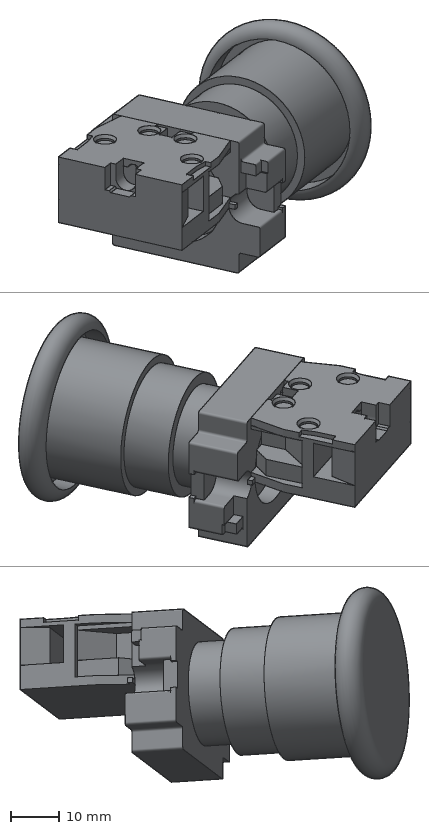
import cadquery as cq

head_radius = 40.0 / 2
head_thickness = 6.0
rim_radius = head_thickness / 2
rim_centre_radius = head_radius - rim_radius
head_back_y = 44.7
head_top_y = head_back_y + head_thickness
underside_groove_depth = 4.65
housing_radius = 15.0
housing_end_y = 28.65
shoulder_radius = 13.3
shoulder_end_y = 18.6
neck_radius = 10.9
neck_end_y = 3.75

collar_depth = 11.0
collar_half_size = 15.0
ear_half_span = head_radius
ear_half_height = 10.3
corner_radius = 0.5
slot_radius = 3.4
slot_centre_x = 15.9
slot_depth = 8.0
web_half_span = 18.9
lip_half_gap = 2.85
lip_thickness = 1.2
relief_depth = 3.0
latch_end_x = 18.45
latch_inner_z = 7.7
latch_front_y = 0.9
latch_notch_depth = 3.45
latch_corner_radius = 0.3

block_length = 24.3
block_height = 15.0
block_half_width = 14.6
waist_half_width = 12.9
taper_length = 8.1
plate_underside_z = 13.2

side_pocket_length = 12.4
side_pocket_floor_z = 1.95
side_ledge_z = 5.85
side_rib_z = 12.3
ledge_ramp_length = 3.45
ledge_inner_x = 10.05
wall_inner_x = 7.5
wall_length = 5.5

window_near_y = 14.9
window_far_y = 18.4
window_floor_z = 5.2

screw_mouth_half_width = 3.6
screw_mouth_length = 2.55
screw_mouth_floor_z = 9.9
screw_slot_radius = 2.4
screw_slot_centre_z = 11.9
screw_bevel = 0.4

pin_hole_radius = 1.5
pin_hole_centre_z = 12.6
pin_groove_length = 4.4
top_pocket_half_width = 4.3
top_pocket_length = 0.9

terminal_top_radius = 2.4
terminal_radius = 1.95
terminal_cone_depth = 0.7
terminal_depth = 1.1
terminal_places = [(4.3, -3.7), (10.3, -11.9)]

notch_start_y = 11.7
notch_bend_y = 14.6
notch_end_y = 19.2
notch_start_half_width = 13.35
notch_depth = 1.0

lug_size = 1.05


def box(x_range, y_range, z_range):
    """Axis-aligned box between pairs of coordinates given in either order."""
    low = [min(pair) for pair in (x_range, y_range, z_range)]
    high = [max(pair) for pair in (x_range, y_range, z_range)]
    sizes = [b - a for a, b in zip(low, high)]
    return cq.Workplane("XY").box(*sizes, centered=False).translate(tuple(low))


def prism_z(points, z_low, z_high):
    """Upright prism over an XY outline."""
    return cq.Workplane("XY").workplane(offset=z_low).polyline(points).close().extrude(z_high - z_low)


def rod_y(radius, y_low, y_high, x=0, z=0):
    """Cylinder along Y."""
    plane = cq.Workplane("XZ", origin=(x, y_high, z))
    return plane.circle(radius).extrude(y_high - y_low)


def both_sides(shape):
    """The shape together with its mirror image across the YZ plane."""
    return shape.union(shape.mirror("YZ"))


def make_button():
    profile = (
        cq.Workplane("XY")
        .moveTo(0, neck_end_y)
        .lineTo(neck_radius, neck_end_y)
        .lineTo(neck_radius, shoulder_end_y)
        .lineTo(shoulder_radius, shoulder_end_y)
        .lineTo(shoulder_radius, housing_end_y)
        .lineTo(housing_radius, housing_end_y)
        .lineTo(housing_radius, head_back_y + underside_groove_depth)
        .lineTo(rim_centre_radius, head_back_y + underside_groove_depth)
        .lineTo(rim_centre_radius, head_back_y)
        .threePointArc((head_radius, head_back_y + rim_radius), (rim_centre_radius, head_top_y))
        .lineTo(0, head_top_y)
        .close()
    )
    return profile.revolve(360, (0, 0, 0), (0, 1, 0))


def ear_slot():
    """Round-ended slot open to -X, with a web left standing at its closed end."""
    slot_y = (0, slot_depth)
    outer_x = -ear_half_span
    slot = box((outer_x, -slot_centre_x), slot_y, (-slot_radius, slot_radius))
    slot = slot.union(rod_y(slot_radius, *slot_y, x=-slot_centre_x))
    lip_y = collar_depth - lip_thickness
    beside_web = box((outer_x, -web_half_span), (slot_depth, lip_y), (-slot_radius, slot_radius))
    behind_lip = box((outer_x, -web_half_span), (lip_y, collar_depth), (-lip_half_gap, lip_half_gap))
    return slot.union(beside_web).union(behind_lip)


def slot_edge_rounding():
    """Material to remove so that the ear edges along the -X slot are rounded."""
    rounding_y = (0, collar_depth - lip_thickness)
    x_inner = -ear_half_span + corner_radius
    z_outer = slot_radius + corner_radius
    strip = box((-ear_half_span, x_inner), rounding_y, (slot_radius, z_outer))
    strip = strip.cut(rod_y(corner_radius, *rounding_y, x=x_inner, z=z_outer))
    return strip.union(strip.mirror("XY"))


def latch_relief():
    """Cut at the front of the lower -X ear that leaves a latch tab standing."""
    x_range = (-ear_half_span, -collar_half_size)
    z_bottom = -ear_half_height - corner_radius
    relief = box(x_range, (0, relief_depth), (0, z_bottom))
    notch = box((-ear_half_span, -latch_end_x), (0, latch_notch_depth), (-latch_inner_z, z_bottom))
    latch = box(
        (-latch_end_x, -collar_half_size),
        (latch_front_y, relief_depth),
        (-latch_inner_z, z_bottom),
    )
    corner_x = -latch_end_x + latch_corner_radius
    corner_z = -ear_half_height + latch_corner_radius
    corner_y = (latch_front_y, latch_notch_depth)
    corner = box((-latch_end_x, corner_x), corner_y, (-ear_half_height, corner_z))
    corner = corner.cut(rod_y(latch_corner_radius, *corner_y, x=corner_x, z=corner_z))
    return relief.cut(latch).union(notch).union(corner)


def make_collar():
    full_depth = (0, collar_depth)
    body_span = (-collar_half_size, collar_half_size)
    collar = box(body_span, full_depth, body_span)
    ears = box(
        (-ear_half_span, ear_half_span),
        full_depth,
        (-ear_half_height, ear_half_height),
    )
    collar = collar.union(ears).edges("|Y").fillet(corner_radius)
    collar = collar.cut(rod_y(neck_radius, *full_depth))
    for turn in (0, 180):
        for cutter in (ear_slot(), slot_edge_rounding(), latch_relief()):
            collar = collar.cut(cutter.rotate((0, 0, 0), (0, 1, 0), turn))
    return collar


def block_outline():
    """Plan outline: full width at the free end, narrowing toward the collar."""
    right = [
        (block_half_width, -block_length),
        (block_half_width, -taper_length),
        (waist_half_width, 0),
    ]
    left = [(-x, y) for x, y in reversed(right)]
    return right + left


def side_pocket():
    """Pocket in the -X side between the two tapered plates, with a ledge and an inner wall."""
    outside_x = -block_half_width
    start = [(outside_x, -side_pocket_length), (outside_x, 0)]
    ledge_cut = prism_z(
        start + [
            (-ledge_inner_x, 0),
            (-waist_half_width, -ledge_ramp_length),
            (-waist_half_width, -side_pocket_length),
        ],
        side_pocket_floor_z,
        side_ledge_z,
    )
    wall_cut = prism_z(
        start + [
            (-wall_inner_x, 0),
            (-wall_inner_x, -wall_length),
            (-waist_half_width, -side_pocket_length),
        ],
        side_ledge_z,
        side_rib_z,
    )
    rib_cut = box(
        (outside_x, -waist_half_width),
        (0, -side_pocket_length),
        (side_rib_z, plate_underside_z),
    )
    return ledge_cut.union(wall_cut).union(rib_cut)


def window():
    """Opening through the full width, flaring out to the free end on both sides."""
    z_range = (window_floor_z, plate_underside_z)
    through = box((-block_half_width, block_half_width), (-window_near_y, -window_far_y), z_range)
    flare = prism_z(
        [
            (-block_half_width, -window_far_y),
            (-waist_half_width, -window_far_y),
            (-block_half_width, -block_length),
        ],
        *z_range,
    )
    return through.union(both_sides(flare))


def round_slot(radius, centre_z, y_low, y_high):
    """Slot along Y with a round floor, open at the top."""
    upper = box((-radius, radius), (y_low, y_high), (centre_z, block_height))
    return upper.union(rod_y(radius, y_low, y_high, z=centre_z))


def screw_opening():
    """Screw access at the free end: a wide mouth, then a round-floored slot into the window."""
    mouth_y = -block_length + screw_mouth_length
    slot_floor_z = screw_slot_centre_z - screw_slot_radius
    bevel_outer = screw_slot_radius + screw_bevel / 2
    bevel_inner = bevel_outer - screw_bevel
    right = [
        (bevel_inner, slot_floor_z),
        (bevel_outer, screw_mouth_floor_z),
        (screw_mouth_half_width, screw_mouth_floor_z),
        (screw_mouth_half_width, block_height),
    ]
    left = [(-x, z) for x, z in reversed(right)]
    mouth = (
        cq.Workplane("XZ", origin=(0, mouth_y, 0))
        .polyline(right + left)
        .close()
        .extrude(screw_mouth_length)
    )
    return mouth.union(round_slot(screw_slot_radius, screw_slot_centre_z, mouth_y, -window_far_y))


def pin_opening():
    """Hole from the window to the collar, open at the top near the collar."""
    hole = rod_y(pin_hole_radius, -window_far_y, 0, z=pin_hole_centre_z)
    groove = round_slot(pin_hole_radius, pin_hole_centre_z, -pin_groove_length, 0)
    recess = round_slot(screw_slot_radius, screw_slot_centre_z, -top_pocket_length, 0)
    pocket = box(
        (-top_pocket_half_width, top_pocket_half_width),
        (-top_pocket_length, 0),
        (plate_underside_z, block_height),
    )
    return hole.union(groove).union(recess).union(pocket)


def terminal_recess(x, y):
    """Blind recess with a conical mouth in the top face."""
    profile = [
        (0, 0),
        (terminal_top_radius, 0),
        (terminal_radius, -terminal_cone_depth),
        (terminal_radius, -terminal_depth),
        (0, -terminal_depth),
    ]
    recess = cq.Workplane("XZ").polyline(profile).close().revolve(360, (0, 0, 0), (0, 1, 0))
    return recess.translate((x, y, block_height))


def edge_notch():
    """Shallow notch in the top edge of the -X side."""
    outline = [
        (-block_half_width, -notch_start_y),
        (-notch_start_half_width, -notch_start_y),
        (-waist_half_width, -notch_bend_y),
        (-waist_half_width, -notch_end_y),
        (-block_half_width, -notch_end_y),
    ]
    return prism_z(outline, block_height - notch_depth, block_height)


def make_block():
    block = prism_z(block_outline(), 0, block_height)
    lug = box((-block_half_width, -waist_half_width), (0, -lug_size), (0, lug_size))
    block = block.union(both_sides(lug))
    block = block.cut(both_sides(side_pocket()))
    block = block.cut(window())
    block = block.cut(screw_opening())
    block = block.cut(pin_opening())
    for x, y in terminal_places:
        block = block.cut(both_sides(terminal_recess(x, y)))
    return block.cut(both_sides(edge_notch()))


button = make_button()
collar = make_collar()
block = make_block()

result = cq.Compound.makeCompound([button.val(), collar.val(), block.val()])